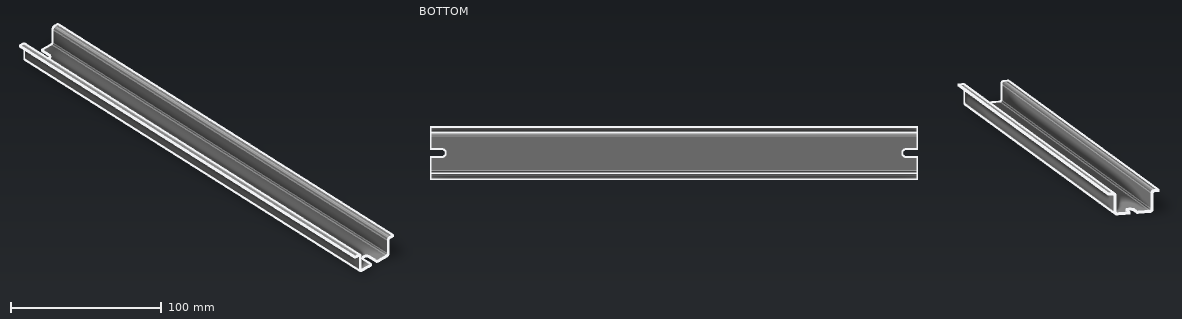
import cadquery as cq

length = 324.0
overall_width = 35.0
height = 15.0
thickness = 1.0
channel_width = 27.0
inner_bend_radius = 1.0
outer_bend_radius = inner_bend_radius + thickness

slot_width = 5.2
slot_depth = 10.0


def make_rail():
    """Extrude the hat section and round its bends."""
    half_width = overall_width / 2
    outer_wall = channel_width / 2
    inner_wall = outer_wall - thickness
    top = height / 2
    bottom = -top
    flange_underside = top - thickness
    floor_top = bottom + thickness

    right_half = [
        (outer_wall, bottom),
        (outer_wall, flange_underside),
        (half_width, flange_underside),
        (half_width, top),
        (inner_wall, top),
        (inner_wall, floor_top),
    ]
    left_half = [(-y, z) for y, z in reversed(right_half)]
    rail = (
        cq.Workplane("YZ")
        .polyline(right_half + left_half)
        .close()
        .extrude(length / 2, both=True)
    )

    def round_bends(body, corners, radius):
        for y, z in corners:
            for side in (-1, 1):
                body = body.edges(cq.NearestToPointSelector((0, side * y, z))).fillet(radius)
        return body

    outside_corners = [(outer_wall, bottom), (inner_wall, top)]
    inside_corners = [(outer_wall, flange_underside), (inner_wall, floor_top)]
    rail = round_bends(rail, outside_corners, outer_bend_radius)
    return round_bends(rail, inside_corners, inner_bend_radius)


def make_end_slot(end):
    """Round-nosed cutter entering from the -X (end=-1) or +X (end=1) end."""
    nose_radius = slot_width / 2
    mouth_x = end * length / 2
    nose_x = mouth_x - end * slot_depth
    nose_centre_x = nose_x + end * nose_radius
    return (
        cq.Workplane("XY")
        .workplane(offset=-height / 2)
        .moveTo(mouth_x, -nose_radius)
        .lineTo(nose_centre_x, -nose_radius)
        .threePointArc((nose_x, 0), (nose_centre_x, nose_radius))
        .lineTo(mouth_x, nose_radius)
        .close()
        .extrude(thickness)
    )


result = make_rail()
for end in (-1, 1):
    result = result.cut(make_end_slot(end))